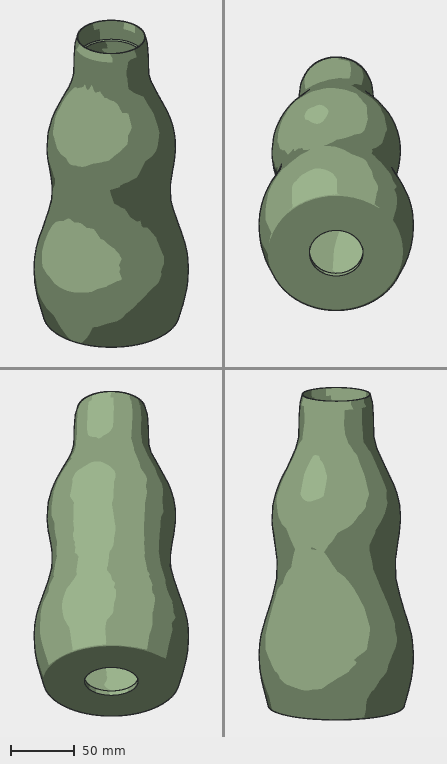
import cadquery as cq

height = 250.0
wall = 4.0

base_radius = 53.2
base_fillet = 1.5
base_hole_diameter = 42.0

shoulder_z = 243.0
shoulder_radius = 28.5
lip_radius = 26.8
lip_thickness = 0.5
bore_radius = 25.5
bore_taper_depth = 6.5
bore_depth = 16.5
ledge_drop = 0.8
throat_diameter = 48.5
throat_end_radius = 25.0
throat_end_z = 225.5

body_profile = [
    (57.0, 13.8),
    (59.8, 27.5),
    (60.62, 38.8),
    (59.5, 55.0),
    (55.8, 69.5),
    (50.2, 87.5),
    (47.0, 101.0),
    (46.2, 112.5),
    (47.8, 127.5),
    (50.5, 150.0),
    (49.2, 164.2),
    (45.0, 177.8),
    (38.8, 191.2),
    (32.5, 204.8),
    (29.2, 218.5),
    (29.2, 231.2),
]


def make_outside():
    """Solid body of revolution with the tapered lip on top."""
    outline = (
        cq.Workplane("XZ")
        .lineTo(base_radius, 0)
        .spline(body_profile + [(shoulder_radius, shoulder_z)], includeCurrent=True)
        .lineTo(lip_radius, height)
        .lineTo(0, height)
        .close()
    )
    body = outline.revolve(360, (0, 0, 0), (0, 1, 0))
    return body.faces("<Z").edges().fillet(base_fillet)


def make_cavity():
    """Inside space: it follows the body one wall inward, then opens at the mouth."""
    throat_radius = throat_diameter / 2
    ledge_z = height - bore_depth
    inner_profile = [(radius - wall, z) for radius, z in body_profile if z < throat_end_z]
    outline = (
        cq.Workplane("XZ")
        .moveTo(0, wall)
        .lineTo(base_radius - wall, wall)
        .spline(inner_profile + [(throat_end_radius, throat_end_z)], includeCurrent=True)
        .lineTo(throat_radius, ledge_z - ledge_drop)
        .lineTo(bore_radius, ledge_z)
        .lineTo(bore_radius, height - bore_taper_depth)
        .lineTo(lip_radius - lip_thickness, height)
        .lineTo(0, height)
        .close()
    )
    return outline.revolve(360, (0, 0, 0), (0, 1, 0))


def make_base_hole():
    """Round opening through the floor."""
    return cq.Workplane("XY").circle(base_hole_diameter / 2).extrude(2 * wall)


result = make_outside().cut(make_cavity()).cut(make_base_hole())